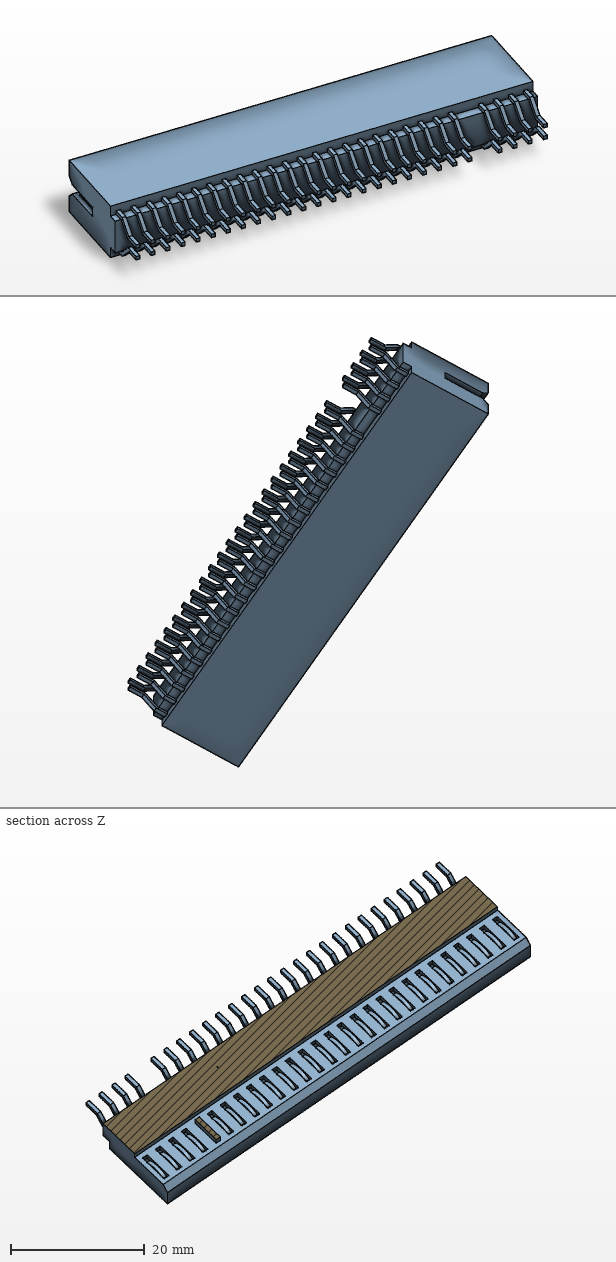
import math

import cadquery as cq

pitch = 2.54
positions = 28
length = positions * pitch
height = 9.4
depth = 13.5
nose_end = 15.0
nose_height = 5.8

slot_height = 1.65
slot_depth = 7.6
lead_in = 1.0

key_position = 4
key_start = 1.72
key_end = 6.65
key_width = 0.86

pocket_start = key_start
pocket_end = 6.75
pocket_width = 0.9
pocket_depth = 0.9

contact_width = 0.64
contact_start = 2.1
contact_end = 6.0
contact_bow = 0.5

overall_depth = 20.02
tail_size = 0.64
tail_bend_x = 15.2
tail_bend_angle = math.radians(45)
tail_inner_z = 0.75


def position_y(index):
    """Y of a contact position, index 0 being nearest the +Y end."""
    return length / 2 - pitch * (index + 0.5)


def extrude_along_y(points, width, y_centre):
    """Closed XZ outline extruded to a width centred on y_centre."""
    outline = cq.Workplane("XZ", origin=(0, y_centre, 0)).polyline(points).close()
    return outline.extrude(width / 2, both=True)


def make_block(x_start, x_end, y_width, z_height, y_centre):
    """Box between two X stations, centred on y_centre and on Z = 0."""
    block = cq.Workplane("XY").box(x_end - x_start, y_width, z_height)
    return block.translate(((x_start + x_end) / 2, y_centre, 0))


def make_housing():
    half_height = height / 2
    half_nose = nose_height / 2
    half_slot = slot_height / 2
    upper = [
        (slot_depth, half_slot),
        (lead_in, half_slot),
        (0, half_slot + lead_in),
        (0, half_height),
        (depth, half_height),
        (depth, half_nose),
        (nose_end, half_nose),
    ]
    lower = [(x, -z) for x, z in reversed(upper)]
    return extrude_along_y(upper + lower, length, 0)


def make_key():
    return make_block(key_start, key_end, key_width, slot_height, position_y(key_position))


def make_pocket(y_centre):
    """Block that recesses both slot faces at one contact position."""
    return make_block(pocket_start, pocket_end, pocket_width, slot_height + 2 * pocket_depth, y_centre)


def make_contact(y_centre, side):
    """Contact on the pocket floor with a bowed face that crests level with the slot face."""
    crest_z = side * slot_height / 2
    shoulder_z = crest_z + side * contact_bow
    floor_z = crest_z + side * pocket_depth
    crest_x = (contact_start + contact_end) / 2
    outline = (
        cq.Workplane("XZ", origin=(0, y_centre, 0))
        .moveTo(contact_start, floor_z)
        .lineTo(contact_start, shoulder_z)
        .threePointArc((crest_x, crest_z), (contact_end, shoulder_z))
        .lineTo(contact_end, floor_z)
        .close()
    )
    return outline.extrude(contact_width / 2, both=True)


def make_tail(y_centre, side):
    """Tail of the upper (side = 1) or lower (side = -1) row, bent inward and then straight again."""
    root_inner_z = nose_height / 2
    second_bend_x = tail_bend_x + (root_inner_z - tail_inner_z) / math.tan(tail_bend_angle)
    outer_shift = tail_size * math.tan(tail_bend_angle / 2)
    inner = [
        (depth, root_inner_z),
        (tail_bend_x, root_inner_z),
        (second_bend_x, tail_inner_z),
        (overall_depth, tail_inner_z),
    ]
    outer = [
        (overall_depth, tail_inner_z + tail_size),
        (second_bend_x + outer_shift, tail_inner_z + tail_size),
        (tail_bend_x + outer_shift, root_inner_z + tail_size),
        (depth, root_inner_z + tail_size),
    ]
    return extrude_along_y([(x, side * z) for x, z in inner + outer], tail_size, y_centre)


contact_ys = [position_y(index) for index in range(positions) if index != key_position]

pockets = [make_pocket(y).val() for y in contact_ys]
metalwork = []
for y in contact_ys:
    for side in (1, -1):
        metalwork.append(make_contact(y, side).val())
        metalwork.append(make_tail(y, side).val())

body = make_housing().union(make_key()).val().cut(*pockets)
connector = body.fuse(*metalwork).clean()
result = cq.Workplane(obj=connector).solids()